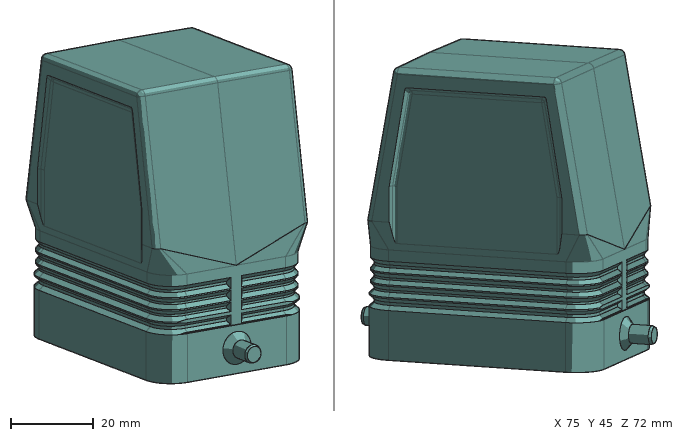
import cadquery as cq
import math

total_height = 72.0
pin_span = 75.0
hood_depth = 45.0

base_half_x = 30.1
base_half_y = 21.6
base_corner_radius = 7.2
base_top_z = 12.2
collar_inset = 0.3
groove_inset = 1.2
collar_bottom_z = 24.2
collar_top_z = 27.0

rib_pitch = 3.0
rib_count = 3
first_rib_z = 15.25
rib_land = 0.35
flank_height = 1.05
strip_crest_width = 3.1
strip_root_width = 4.5

flare_top_z = 34.0
crown_top_half_x = 21.6
end_crown = 0.2
roof_crown = 0.15
hood_edge_radius = 1.5

recess_depth = 0.9
recess_top_z = 67.2
recess_top_half_x = 18.2
recess_bend_z = 42.8
recess_low_half_x = 22.3
recess_corner_radius = 1.2
recess_floor_radius = 1.5
recess_wall_angle = 50.0

pin_z = 6.45
pin_radius = 2.3
pin_chamfer_length = 0.7
pin_chamfer_depth = 0.3
pin_cone_radius = 4.1
pin_cone_end_x = 31.7

collar_half_x = base_half_x - collar_inset
collar_half_y = base_half_y - collar_inset
hood_half_y = hood_depth / 2


def outline(inset, z):
    """Rounded rectangle at height z, offset inwards from the base outline."""
    return (
        cq.Sketch()
        .rect(2 * (base_half_x - inset), 2 * (base_half_y - inset))
        .vertices()
        .fillet(base_corner_radius - inset)
        .moved(cq.Location(cq.Vector(0, 0, z)))
    )


def tier(inset_low, z_low, inset_high, z_high):
    """Solid layer between two offset outlines; sloping when the insets differ."""
    return cq.Workplane().placeSketch(outline(inset_low, z_low), outline(inset_high, z_high)).loft(ruled=True)


def make_rib(center_z, crest_inset):
    """Ring with a flat crest and two sloping flanks."""
    low_z = center_z - rib_land / 2
    high_z = center_z + rib_land / 2
    rib = tier(groove_inset, low_z - flank_height, crest_inset, low_z)
    rib = rib.union(tier(crest_inset, low_z, crest_inset, high_z))
    return rib.union(tier(crest_inset, high_z, groove_inset, high_z + flank_height))


def make_strips():
    """Upright strips at both ends, with sloping sides."""
    root_x = base_half_x - groove_inset
    crest = strip_crest_width / 2
    root = strip_root_width / 2
    profile = [
        (-collar_half_x, -crest),
        (-root_x, -root),
        (root_x, -root),
        (collar_half_x, -crest),
        (collar_half_x, crest),
        (root_x, root),
        (-root_x, root),
        (-collar_half_x, crest),
    ]
    return (
        cq.Workplane()
        .workplane(offset=base_top_z)
        .polyline(profile)
        .close()
        .extrude(collar_bottom_z - base_top_z)
    )


def make_ribbed_band():
    """Grooved band below the collar, no longer than the collar so that its end strips stay flush."""
    band = tier(groove_inset, base_top_z, groove_inset, collar_bottom_z)
    band = band.union(tier(0, base_top_z, groove_inset, base_top_z + flank_height))
    for index in range(rib_count):
        crest_inset = 0 if index == 0 else collar_inset
        band = band.union(make_rib(first_rib_z + index * rib_pitch, crest_inset))
    band = band.union(tier(groove_inset, collar_bottom_z - flank_height, collar_inset, collar_bottom_z))
    limit = cq.Workplane().box(2 * collar_half_x, hood_depth, 2 * total_height)
    return band.intersect(limit).union(make_strips())


def make_lower_body():
    """Base, ribbed band and collar."""
    base = tier(0, 0, 0, base_top_z)
    collar = tier(collar_inset, collar_bottom_z, collar_inset, collar_top_z)
    return base.union(make_ribbed_band()).union(collar)


def crown_half_x(z):
    """Half length of the hood at mid depth."""
    slope = (collar_half_x - crown_top_half_x) / (total_height - collar_top_z)
    return crown_top_half_x + slope * (total_height - z)


def hood_section(z):
    """Corner points of the hood at height z, before rounding."""
    crown_x = crown_half_x(z)
    corner_x = crown_x - end_crown
    return [
        (crown_x, 0),
        (corner_x, hood_half_y),
        (-corner_x, hood_half_y),
        (-crown_x, 0),
        (-corner_x, -hood_half_y),
        (corner_x, -hood_half_y),
    ]


def make_hood():
    """Tapered hood; below the flare only a triangular wedge of it continues to the collar."""
    hood = (
        cq.Workplane()
        .workplane(offset=collar_top_z)
        .polyline(hood_section(collar_top_z))
        .close()
        .workplane(offset=total_height - collar_top_z)
        .polyline(hood_section(total_height))
        .close()
        .loft(ruled=True)
    )
    roof = (
        cq.Workplane("YZ")
        .polyline([
            (0, total_height),
            (hood_half_y, total_height - roof_crown),
            (hood_half_y, collar_top_z),
            (-hood_half_y, collar_top_z),
            (-hood_half_y, total_height - roof_crown),
        ])
        .close()
        .extrude(base_half_x, both=True)
    )
    hood = hood.intersect(roof)
    roof_edge_box = cq.selectors.BoxSelector(
        (-base_half_x, -hood_half_y, total_height - 2 * roof_crown),
        (base_half_x, hood_half_y, total_height),
    )
    long_face_edges = hood.faces("<Y or >Y").edges("not <Z")
    end_edges = hood.edges("not |X").edges(roof_edge_box)
    hood = hood.newObject(long_face_edges.add(end_edges).vals()).fillet(hood_edge_radius)

    wedge_half_y = hood_half_y - hood_edge_radius
    keep = (
        cq.Workplane("YZ")
        .polyline([
            (0, collar_top_z),
            (wedge_half_y, flare_top_z),
            (hood_half_y, flare_top_z),
            (hood_half_y, total_height),
            (-hood_half_y, total_height),
            (-hood_half_y, flare_top_z),
            (-wedge_half_y, flare_top_z),
        ])
        .close()
        .extrude(base_half_x, both=True)
    )
    return hood.intersect(keep)


def make_flare():
    """Transition from the collar outline to the hood outline."""
    flare_top = (
        cq.Sketch()
        .rect(2 * (crown_half_x(flare_top_z) - end_crown), hood_depth)
        .vertices()
        .fillet(hood_edge_radius)
        .moved(cq.Location(cq.Vector(0, 0, flare_top_z)))
    )
    return cq.Workplane().placeSketch(outline(collar_inset, collar_top_z), flare_top).loft(ruled=True)


def make_recess():
    """Cutter for the front recess: sloping walls, rounded floor edges, open at the bottom."""
    wall_run = recess_depth * math.tan(math.radians(recess_wall_angle))
    bottom_z = flare_top_z - 2 * (flare_top_z - collar_top_z)

    def recess_outline(inset):
        return [
            (-recess_low_half_x + inset, bottom_z),
            (-recess_low_half_x + inset, recess_bend_z),
            (-recess_top_half_x + inset, recess_top_z - inset),
            (recess_top_half_x - inset, recess_top_z - inset),
            (recess_low_half_x - inset, recess_bend_z),
            (recess_low_half_x - inset, bottom_z),
        ]

    cutter = (
        cq.Workplane("XZ", origin=(0, -hood_half_y + recess_depth, 0))
        .polyline(recess_outline(wall_run))
        .close()
        .workplane(offset=recess_depth)
        .polyline(recess_outline(0))
        .close()
        .loft(ruled=True)
    )
    upper_corners = cq.selectors.BoxSelector(
        (-recess_top_half_x, -hood_half_y, recess_top_z - wall_run),
        (recess_top_half_x, -hood_half_y + recess_depth, recess_top_z),
    )
    cutter = cutter.edges("not |X").edges(upper_corners).fillet(recess_corner_radius)
    return cutter.faces(">Y").edges("not <Z").fillet(recess_floor_radius)


def make_pin():
    """Pin on the +X end, with its conical foot."""
    tip_x = pin_span / 2
    foot_x = base_half_x - groove_inset
    profile = [
        (foot_x, 0),
        (foot_x, pin_cone_radius),
        (base_half_x, pin_cone_radius),
        (pin_cone_end_x, pin_radius),
        (tip_x - pin_chamfer_length, pin_radius),
        (tip_x, pin_radius - pin_chamfer_depth),
        (tip_x, 0),
    ]
    pin = cq.Workplane("XY").polyline(profile).close().revolve(360, (0, 0, 0), (1, 0, 0))
    return pin.translate((0, 0, pin_z))


body = make_lower_body().union(make_flare()).union(make_hood())
recess = make_recess()
body = body.cut(recess).cut(recess.mirror("XZ"))
pin = make_pin()
result = body.union(pin).union(pin.mirror("YZ"))